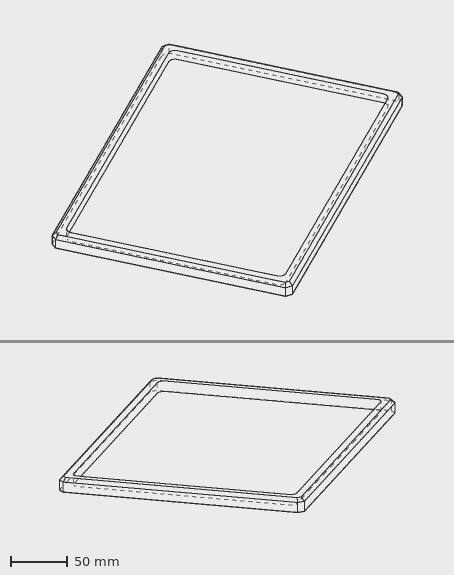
import cadquery as cq

width = 225.5
length = 304.8
height = 12.8

corner_chamfer = 5.0
top_chamfer = 3.5

rim_width = 10.0
recess_corner_radius = 6.0
floor_thickness = 3.0


def make_body():
    """Flat slab with bevelled upright corners and a bevelled top outline."""
    slab = cq.Workplane("XY").box(width, length, height, centered=(True, True, False))
    slab = slab.edges("|Z").chamfer(corner_chamfer)
    return slab.faces(">Z").edges().chamfer(top_chamfer)


def make_recess():
    """Round-cornered pocket volume, open at the top of the tray."""
    return (
        cq.Workplane("XY")
        .workplane(offset=floor_thickness)
        .rect(width - 2 * rim_width, length - 2 * rim_width)
        .extrude(height - floor_thickness)
        .edges("|Z")
        .fillet(recess_corner_radius)
    )


result = make_body().cut(make_recess())